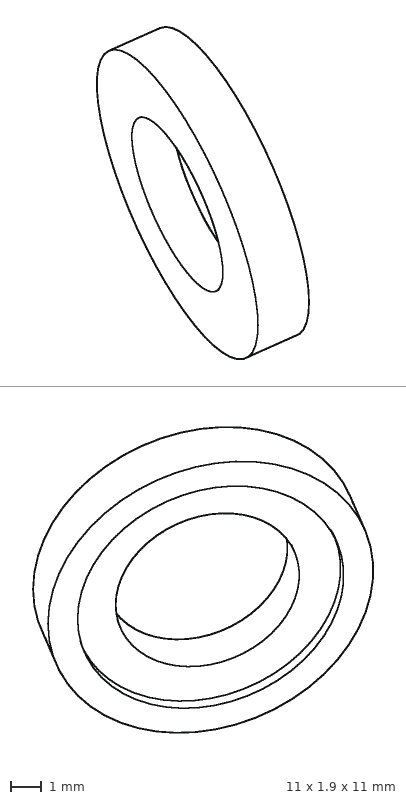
import cadquery as cq

outer_diameter = 11.0
bore_diameter = 6.2
counterbore_diameter = 9.0
thickness = 1.9
counterbore_depth = 0.4

back_plane = cq.Workplane("XZ", origin=(0, thickness / 2, 0))

ring = back_plane.circle(outer_diameter / 2).circle(bore_diameter / 2).extrude(thickness)
counterbore = back_plane.circle(counterbore_diameter / 2).extrude(counterbore_depth)

result = ring.cut(counterbore)